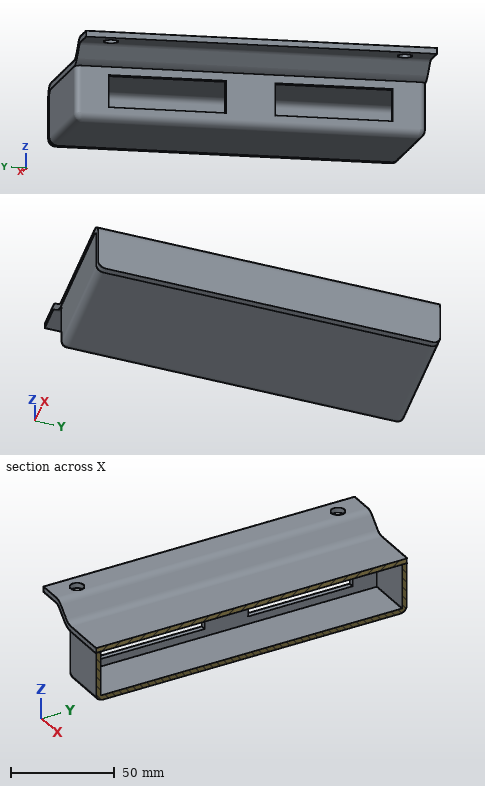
import cadquery as cq
import math

width = 173.0
length = 83.5
height = 39.0
box_length = 60.0
box_height = 30.0

sheet = 3.0
bend_outer = 6.0
bend_inner = bend_outer - sheet
bend_angle = math.radians(45)
hole_diameter = 7.1
hole_from_tip = 8.1
hole_from_end = 14.0

wall = 3.0
upright_radius = 3.0
bottom_radius = 4.0

window_width = 58.0
window_height = 16.0
window_bottom = 7.1
window_from_end = 16.5

box_front = length - box_length
cover_inside = length - sheet
box_top = box_height - sheet

step_rise = height - box_height
bends_run = 2 * bend_outer * math.sin(bend_angle)
bends_rise = 2 * bend_outer * (1 - math.cos(bend_angle))
step_run = bends_run + (step_rise - bends_rise) / math.tan(bend_angle)
step_end = box_front + upright_radius
flange_end = step_end - step_run


def point_on_bend(centre, radius, angle):
    """Point on a bend, with the angle measured from +Z towards +X."""
    return (centre[0] + radius * math.sin(angle), centre[1] + radius * math.cos(angle))


def make_cover():
    """Mounting flange, sloped step, top plate and back plate bent from one sheet."""
    flange_bend = (flange_end, height - bend_outer)
    step_bend = (step_end, box_height + bend_outer)
    back_bend = (length - bend_outer, box_height - bend_outer)
    step_bend_under = bend_outer + sheet
    step_angle = math.pi + bend_angle
    right_angle = math.pi / 2

    profile = (
        cq.Workplane("XZ", origin=(0, width / 2, 0))
        .moveTo(0, height)
        .lineTo(flange_end, height)
        .tangentArcPoint(point_on_bend(flange_bend, bend_outer, bend_angle), relative=False)
        .lineTo(*point_on_bend(step_bend, bend_outer, step_angle))
        .tangentArcPoint((step_end, box_height), relative=False)
        .lineTo(back_bend[0], box_height)
        .tangentArcPoint(point_on_bend(back_bend, bend_outer, right_angle), relative=False)
        .lineTo(length, 0)
        .lineTo(cover_inside, 0)
        .lineTo(cover_inside, back_bend[1])
        .tangentArcPoint((back_bend[0], box_top), relative=False)
        .lineTo(step_end, box_top)
        .tangentArcPoint(point_on_bend(step_bend, step_bend_under, step_angle), relative=False)
        .lineTo(*point_on_bend(flange_bend, bend_inner, bend_angle))
        .tangentArcPoint((flange_end, height - sheet), relative=False)
        .lineTo(0, height - sheet)
        .close()
    )
    cover = profile.extrude(width)

    cover = cover.faces("<Z").edges("|X").fillet(bottom_radius)

    hole_y = width / 2 - hole_from_end
    holes = (
        cq.Workplane("XY", origin=(0, 0, height - sheet))
        .pushPoints([(hole_from_tip, -hole_y), (hole_from_tip, hole_y)])
        .circle(hole_diameter / 2)
        .extrude(sheet)
    )
    return cover.cut(holes)


def make_box():
    """Tray with floor, front and side walls, closed above and behind by the cover."""
    outer_length = cover_inside - box_front
    box = cq.Workplane("XY").box(outer_length, width, box_top, centered=(False, True, False))
    box = box.translate((box_front, 0, 0))

    box = box.faces(">X").edges(">Z").fillet(bend_inner)
    box = box.faces("<Z").edges("not >X").fillet(bottom_radius)
    box = box.edges("|Z and <X").fillet(upright_radius)

    cavity = (
        cq.Workplane("XY", origin=(box_front + wall, 0, wall))
        .box(outer_length - wall, width - 2 * wall, box_top - wall, centered=(False, True, False))
    )
    box = box.cut(cavity)

    window_y = width / 2 - window_from_end - window_width / 2
    for side in (-1, 1):
        window = (
            cq.Workplane("XY", origin=(box_front, side * window_y, window_bottom))
            .box(wall, window_width, window_height, centered=(False, True, False))
        )
        box = box.cut(window)
    return box


cover = make_cover()
box = make_box()

result = cq.Compound.makeCompound([cover.val(), box.val()])